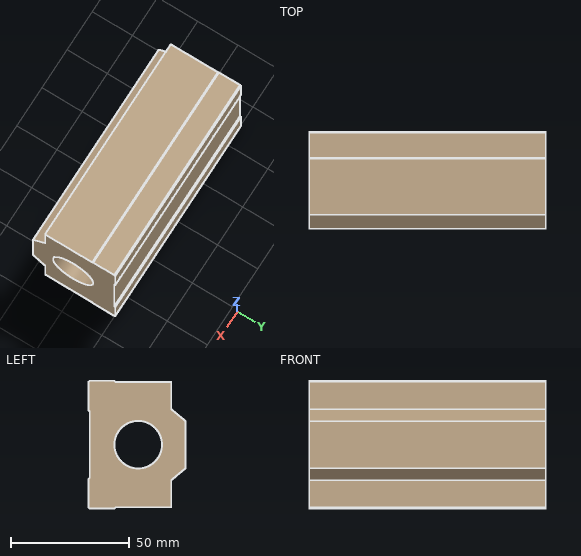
import cadquery as cq

length = 100.0
depth = 41.0
height = 54.0

pad_rise = 0.5
pad_depth = 11.5
pad_height = 12.5
pad_bevel = 0.5

rib_projection = 6.0
rib_base_height = 30.0
rib_tip_height = 20.0

bore_diameter = 20.0
bore_from_front = 20.0

back_y = depth / 2
front_y = -depth / 2
shoulder_y = front_y + rib_projection
pad_front_y = back_y - pad_depth
top_z = height / 2
body_top_z = top_z - pad_rise
pad_inner_z = top_z - pad_height


def make_body():
    """Extrude the section, which is symmetric about mid height."""
    upper_half = [
        (front_y, rib_tip_height / 2),
        (shoulder_y, rib_base_height / 2),
        (shoulder_y, body_top_z),
        (pad_front_y, body_top_z),
        (pad_front_y + pad_rise, top_z),
        (back_y - pad_bevel, top_z),
        (back_y, top_z - pad_bevel),
        (back_y, pad_inner_z),
        (back_y - pad_rise, pad_inner_z - pad_rise),
    ]
    lower_half = [(y, -z) for y, z in reversed(upper_half)]
    section = cq.Workplane("YZ").polyline(upper_half + lower_half).close()
    return section.extrude(length / 2, both=True)


def make_bore():
    """Cylinder that opens the bore through the full length."""
    bore_y = front_y + bore_from_front
    return cq.Workplane("YZ").center(bore_y, 0).circle(bore_diameter / 2).extrude(length / 2, both=True)


result = make_body().cut(make_bore())